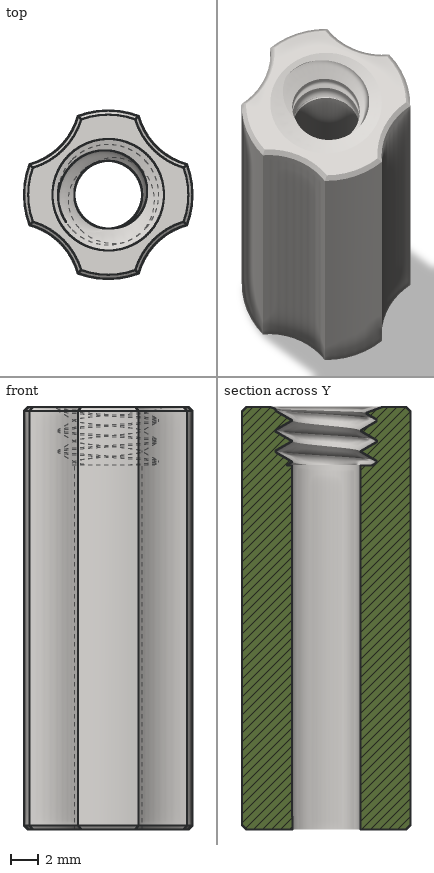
import cadquery as cq
import math

length = 31.25
outer_diameter = 12.47
outer_radius = outer_diameter / 2
lobe_count = 4
lobe_half_width = 2.25
flute_floor_radius = 5.03
end_chamfer = 0.3

bore_radius = 2.5
countersink_radius = 4.12
countersink_slope = math.radians(20)

thread_pitch = 1.53
thread_root_radius = 3.72
thread_flank_angle = math.radians(30)
thread_crest_flat = 0.015
thread_depth = 4.3
thread_start_angle = 235

cutter_overlap = 0.005
turns_above_mouth = 1
turns_below_thread = 2


def on_circle(radius, angle):
    return (radius * math.cos(angle), radius * math.sin(angle))


def make_body():
    """Fluted bar standing on the XY plane, lobes on the X and Y axes, both ends chamfered."""
    lobe_step = 2 * math.pi / lobe_count
    half_lobe = math.asin(lobe_half_width / outer_radius)
    outline = cq.Workplane("XY").moveTo(*on_circle(outer_radius, -half_lobe))
    for i in range(lobe_count):
        lobe_angle = i * lobe_step
        flute_angle = lobe_angle + lobe_step / 2
        next_lobe_start = lobe_angle + lobe_step - half_lobe
        outline = outline.threePointArc(
            on_circle(outer_radius, lobe_angle),
            on_circle(outer_radius, lobe_angle + half_lobe),
        )
        outline = outline.threePointArc(
            on_circle(flute_floor_radius, flute_angle),
            on_circle(outer_radius, next_lobe_start),
        )
    bar = outline.close().extrude(length)
    return bar.faces("|Z").edges().chamfer(end_chamfer)


def make_bore():
    """Through bore and its conical upper mouth, as one revolved cutter."""
    mouth_depth = (countersink_radius - bore_radius) * math.tan(countersink_slope)
    half_section = cq.Workplane("XZ").polyline([
        (0, 0),
        (bore_radius, 0),
        (bore_radius, length - mouth_depth),
        (countersink_radius, length),
        (0, length),
    ]).close()
    return half_section.revolve(360, (0, 0, 0), (0, 1, 0))


def make_thread_groove():
    """Helical V groove starting above the mouth and cut off flat at the thread depth."""
    flank_taper = math.tan(thread_flank_angle)
    crest_half = (thread_pitch - thread_crest_flat) / 2
    inner_half = crest_half + cutter_overlap * flank_taper
    root_half = crest_half - (thread_root_radius - bore_radius) * flank_taper
    inner_radius = bore_radius - cutter_overlap
    profile = cq.Workplane("XZ").polyline([
        (inner_radius, -inner_half),
        (thread_root_radius, -root_half),
        (thread_root_radius, root_half),
        (inner_radius, inner_half),
    ]).close()

    turns_in_thread = math.ceil(thread_depth / thread_pitch)
    turns_below_mouth = turns_in_thread + turns_below_thread
    helix_height = (turns_above_mouth + turns_below_mouth) * thread_pitch
    helix = cq.Wire.makeHelix(thread_pitch, helix_height, bore_radius)
    groove = profile.sweep(cq.Workplane(obj=helix), isFrenet=True)
    groove = groove.rotate((0, 0, 0), (0, 0, 1), thread_start_angle)
    groove = groove.translate((0, 0, length - turns_below_mouth * thread_pitch))

    threaded_zone = (
        cq.Workplane("XY", origin=(0, 0, length - thread_depth))
        .circle(countersink_radius)
        .extrude(thread_depth + thread_pitch)
    )
    return groove.intersect(threaded_zone)


result = make_body().cut(make_bore()).cut(make_thread_groove())